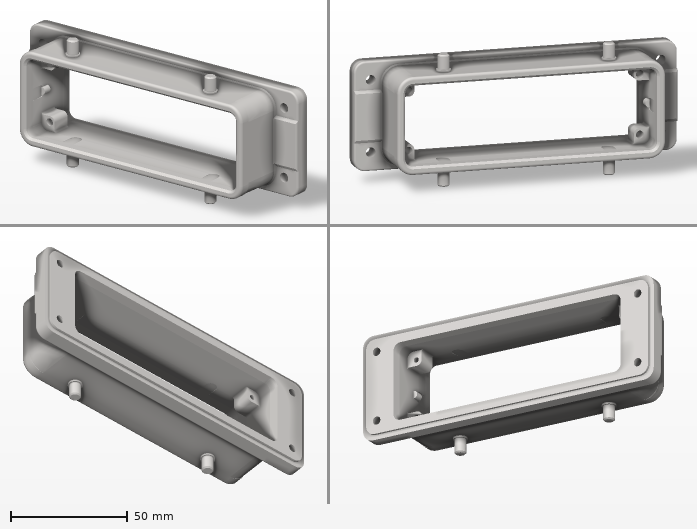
import cadquery as cq

depth = 31.6

seal_length = 140.6
seal_height = 44.0
seal_radius = 4.3

flange_length = 145.0
flange_height = 48.4
flange_radius = 5.0
flange_back = 1.2
flange_front = 7.8
edge_fillet = 0.9

pad_rise = 0.9
pad_top_half = 10.3
pad_foot_half = 11.6

screw_hole_radius = 2.2
screw_hole_end_radius = 1.9
screw_hole_x = 65.1
screw_hole_z = 16.0

housing_length = 120.2
housing_height = 43.2
wall_draft = 0.1
housing_radius = 7.7
band_radius = 7.1
band_start = 26.4
mouth_fillet = 1.3
base_fillet = 0.7

opening_length = 112.5
opening_height = 35.1
opening_radius = 3.0
back_flare = 0.5
back_flare_end = 4.3
mouth_flare = 0.3
rim_chamfer = 1.0

pin_x = 37.1
pin_y = 23.3
pin_radius = 2.6
pin_span = 58.1
pin_sink = 1.3
pin_chamfer = 0.6
collar_radius = 3.2
collar_height = 0.9

relief_radius = 2.8
relief_y = 21.5

boss_size = 7.0
boss_radius = 2.3
boss_root_fillet = 0.9
boss_back = 11.2
boss_hole_radius = 1.7
boss_hole_end_radius = 1.23
boss_hole_x = 51.9
boss_hole_z = 13.3
stud_radius = 1.7
stud_back = 16.4

seat_y = 20.3


def plane_at(y):
    """Plane parallel to XZ at distance y in front of the seal face, facing the mouth."""
    return cq.Workplane("XZ", origin=(0, -y, 0))


def rounded_block(length, height, radius, back, front):
    """Rounded rectangle reaching from back to front."""
    return plane_at(back).rect(length, height).extrude(front - back).edges("|Y").fillet(radius)


def rounded_sketch(length, height, radius):
    return cq.Sketch().rect(length, height).vertices().fillet(radius)


def tapered_block(length, height, radius, growth, back, front):
    """Rounded rectangle that grows by `growth` on every side from back to front."""
    start = rounded_sketch(length, height, radius)
    end = rounded_sketch(length + 2 * growth, height + 2 * growth, radius + growth)
    return plane_at(back).placeSketch(start, end.moved(cq.Location((0, 0, front - back)))).loft()


def make_flange():
    flange = rounded_block(flange_length, flange_height, flange_radius, flange_back, flange_front)
    flange = flange.faces("<Y").edges().fillet(edge_fillet)
    seal = rounded_block(seal_length, seal_height, seal_radius, 0, flange_front - edge_fillet)
    return flange.union(seal)


def make_pads():
    """Bar across the flange with sloping long sides; the housing covers its middle."""
    pad_front = flange_front + pad_rise
    bar = (
        cq.Workplane("YZ", origin=(-flange_length / 2, 0, 0))
        .polyline([
            (-flange_back, -pad_foot_half),
            (-flange_front, -pad_foot_half),
            (-pad_front, -pad_top_half),
            (-pad_front, pad_top_half),
            (-flange_front, pad_foot_half),
            (-flange_back, pad_foot_half),
        ])
        .close()
        .extrude(flange_length)
    )
    return bar.faces("<Y").edges("|Z").fillet(edge_fillet)


def make_housing():
    wall = tapered_block(
        housing_length + 2 * wall_draft,
        housing_height + 2 * wall_draft,
        housing_radius + wall_draft,
        -wall_draft,
        flange_back,
        band_start,
    )
    band = rounded_block(housing_length, housing_height, band_radius, band_start, depth)
    return wall.union(band.faces("<Y").edges().fillet(mouth_fillet))


def make_skirt(foot_y):
    """Sloped foot around the housing wall, standing on a face at foot_y."""
    return tapered_block(
        housing_length + 2 * base_fillet,
        housing_height + 2 * base_fillet,
        housing_radius + base_fillet,
        -base_fillet,
        foot_y,
        foot_y + base_fillet,
    )


def make_cavity():
    straight = rounded_block(opening_length, opening_height, opening_radius, 0, seat_y)
    back = tapered_block(
        opening_length + 2 * back_flare,
        opening_height + 2 * back_flare,
        opening_radius + back_flare,
        -back_flare,
        0,
        back_flare_end,
    )
    ramp = tapered_block(opening_length, opening_height, opening_radius, mouth_flare, seat_y, band_start)
    mouth_size = (
        opening_length + 2 * mouth_flare,
        opening_height + 2 * mouth_flare,
        opening_radius + mouth_flare,
    )
    mouth = rounded_block(*mouth_size, band_start, depth)
    rim = tapered_block(*mouth_size, rim_chamfer, depth - rim_chamfer, depth)
    return straight.union(back).union(ramp).union(mouth).union(rim)


def make_relief(width, direction):
    """Round-ended slot, level with the mouth, through two facing walls along `direction`."""
    slot_length = band_start - relief_y
    slot = (
        cq.Workplane("XY")
        .rect(2 * relief_radius, slot_length)
        .extrude(width / 2, both=True)
        .translate((0, -slot_length / 2, 0))
        .union(cq.Workplane("XY").circle(relief_radius).extrude(width / 2, both=True))
        .translate((0, -relief_y, 0))
    )
    if direction == "X":
        slot = slot.rotate((0, 0, 0), (0, 1, 0), 90)
    return slot


def make_pin(x):
    """Pin with a collar on the upper wall, its root sunk into the wall."""
    root_z = housing_height / 2 - pin_sink
    root = cq.Workplane("XY", origin=(x, -pin_y, root_z))
    pin = root.circle(pin_radius).extrude(pin_span / 2 - root_z)
    pin = pin.faces(">Z").chamfer(pin_chamfer)
    collar = root.circle(collar_radius).extrude(pin_sink + collar_height)
    return pin.union(collar)


def make_hole(x, z, front_radius, end_radius, back, front):
    """Tapered hole cutter, widest at its front end."""
    end_center = cq.Vector(x, -back, z)
    forward = cq.Vector(0, -1, 0)
    cone = cq.Solid.makeCone(end_radius, front_radius, front - back, end_center, forward)
    return cq.Workplane(cone)


def make_boss():
    """Corner boss at the +X, +Z corner, buried in the walls on its outer sides."""
    wall_overlap = 1.5
    size = boss_size + wall_overlap
    wall_x = opening_length / 2
    wall_z = opening_height / 2
    boss_length = seat_y - boss_back
    boss = (
        plane_at(boss_back)
        .center(wall_x - boss_size + size / 2, wall_z - boss_size + size / 2)
        .rect(size, size)
        .extrude(boss_length)
        .edges("|Y and <X and <Z")
        .fillet(boss_radius)
    )
    near = boss_size + boss_root_fillet
    root_centers = [
        (wall_x - near, wall_z - boss_root_fillet),
        (wall_x - boss_root_fillet, wall_z - near),
    ]
    rounds = plane_at(boss_back).pushPoints(root_centers).circle(boss_root_fillet).extrude(boss_length)
    squares = (
        plane_at(boss_back)
        .pushPoints([(x + boss_root_fillet / 2, z + boss_root_fillet / 2) for x, z in root_centers])
        .rect(boss_root_fillet, boss_root_fillet)
        .extrude(boss_length)
    )
    roots = squares.cut(rounds)
    hole = make_hole(boss_hole_x, boss_hole_z, boss_hole_radius, boss_hole_end_radius, boss_back, seat_y)
    return boss.union(roots).cut(hole)


frame = make_flange().union(make_pads()).union(make_housing())

pad_zone = cq.Workplane("XY").box(flange_length, 2 * depth, 2 * pad_top_half)
pad_skirt = make_skirt(flange_front + pad_rise).intersect(pad_zone)
frame = frame.union(make_skirt(flange_front)).union(pad_skirt)
frame = frame.cut(make_cavity())

pin_relief = make_relief(opening_height + 2 * mouth_flare, "Z")
stud_relief = make_relief(opening_length + 2 * mouth_flare, "X")
frame = frame.cut(stud_relief)

for x in (-pin_x, pin_x):
    upper_pin = make_pin(x)
    frame = frame.cut(pin_relief.translate((x, 0, 0)))
    frame = frame.union(upper_pin).union(upper_pin.mirror("XY"))

for x in (-screw_hole_x, screw_hole_x):
    for z in (-screw_hole_z, screw_hole_z):
        hole = make_hole(x, z, screw_hole_radius, screw_hole_end_radius, 0, flange_front)
        frame = frame.cut(hole)

right_bosses = make_boss().union(make_boss().mirror("XY"))
frame = frame.union(right_bosses).union(right_bosses.mirror("YZ"))

studs = (
    plane_at(stud_back)
    .pushPoints([(-opening_length / 2, 0), (opening_length / 2, 0)])
    .circle(stud_radius)
    .extrude(seat_y - stud_back)
)
result = frame.union(studs)